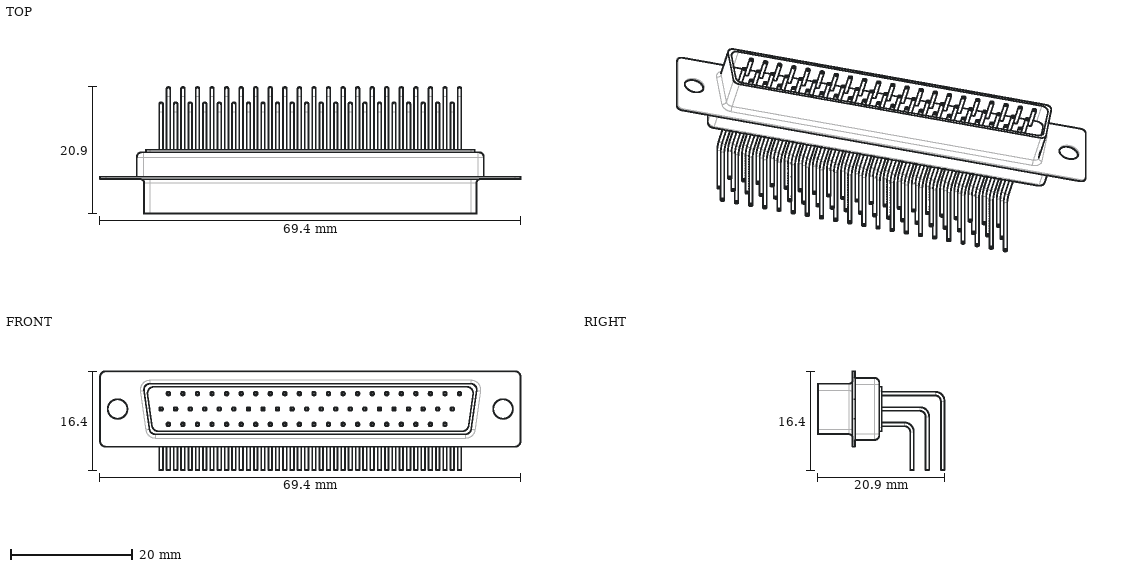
import cadquery as cq
import math


flange_width = 69.4
flange_height = 12.5
flange_thickness = 0.4
flange_corner_radius = 1.0
flange_edge_radius = 0.1
mount_hole_diameter = 3.2
mount_hole_spacing = 63.6

side_angle = 8.0
shell_top_width = 55.2
shell_height = 8.3
shell_corner_radius = 1.0
shell_depth = 5.7
shell_wall = 0.5
cavity_corner_radius = 1.1
shell_root_radius = 0.6
select_margin = 0.1
cavity_depth = 3.55

housing_width = 57.25
housing_height = 10.3
housing_corner_radius = 1.05
housing_depth = 4.0
housing_edge_radius = 0.8
insert_width = 54.3
insert_height = 7.35
insert_corner_radius = 0.7
insert_step = 0.4

pin_diameter = 0.64
pin_tip_chamfer = 0.105
pin_bend_radius = 1.25
pin_front_recess = 0.1
row_span = 48.0
long_row_pins = 21
short_row_pins = 20
column_pitch = row_span / (long_row_pins - 1)
row_stagger = column_pitch / 4
outer_row_distance = 5.1
row_pitch = outer_row_distance / 2
overall_depth = 20.9
overall_height = 16.4

half_corner_angle = math.radians(90 - side_angle) / 2
cavity_height = shell_height - 2 * shell_wall
cavity_top_width = shell_top_width - 2 * shell_wall / math.tan(half_corner_angle)
pin_radius = pin_diameter / 2
pin_front = pin_front_recess - shell_depth
leg_bottom = flange_height / 2 - overall_height
last_leg_y = overall_depth - shell_depth - pin_radius
housing_back = flange_thickness + housing_depth

first_pin_x = -row_span / 2
pin_rows = [
    (row_pitch, last_leg_y, first_pin_x + row_stagger, long_row_pins),
    (0.0, last_leg_y - row_pitch, first_pin_x - row_stagger, long_row_pins),
    (-row_pitch, last_leg_y - 2 * row_pitch, first_pin_x + row_stagger, short_row_pins),
]


def rounded_block(width, height, corner_radius, front_y, depth):
    """Rectangular block with rounded corners, running from front_y towards +Y."""
    return (
        cq.Workplane("XZ", origin=(0, front_y, 0))
        .rect(width, height)
        .extrude(-depth)
        .edges("|Y")
        .fillet(corner_radius)
    )


def d_block(top_width, height, corner_radius, front_y, depth):
    """D-shaped block, wider at the top, running from front_y towards +Y."""
    half_top = top_width / 2
    half_bottom = half_top - height * math.tan(math.radians(side_angle))
    return (
        cq.Workplane("XZ", origin=(0, front_y, 0))
        .polyline([
            (-half_top, height / 2),
            (half_top, height / 2),
            (half_bottom, -height / 2),
            (-half_bottom, -height / 2),
        ])
        .close()
        .extrude(-depth)
        .edges("|Y")
        .fillet(corner_radius)
    )


def make_flange():
    """Thin plate with two mounting holes and lightly rounded edges."""
    return (
        rounded_block(flange_width, flange_height, flange_corner_radius, 0, flange_thickness)
        .faces("<Y")
        .workplane(origin=(0, 0, 0))
        .pushPoints([(-mount_hole_spacing / 2, 0), (mount_hole_spacing / 2, 0)])
        .hole(mount_hole_diameter)
        .faces("<Y or >Y")
        .edges()
        .fillet(flange_edge_radius)
    )


def add_shell(flange):
    """Add the front shell, with a rounded root on the flange and a cavity open to the front."""
    shell = d_block(shell_top_width, shell_height, shell_corner_radius, -shell_depth, shell_depth)
    root_edges = cq.selectors.BoxSelector(
        (-shell_top_width / 2, -select_margin, -shell_height / 2 - select_margin),
        (shell_top_width / 2, select_margin, shell_height / 2 + select_margin),
    )
    cavity = d_block(cavity_top_width, cavity_height, cavity_corner_radius, -shell_depth, cavity_depth)
    return flange.union(shell).edges(root_edges).fillet(shell_root_radius).cut(cavity)


def make_housing():
    """Solid housing behind the flange, with the insert standing out of its back face."""
    housing = (
        rounded_block(housing_width, housing_height, housing_corner_radius, flange_thickness, housing_depth)
        .faces(">Y")
        .edges()
        .fillet(housing_edge_radius)
    )
    insert = rounded_block(insert_width, insert_height, insert_corner_radius, housing_back, insert_step)
    return housing.union(insert)


def make_pin(row_z, leg_y):
    """Pin at X = 0: straight back from the front tip, then bent down into the leg."""
    bend_mid = pin_bend_radius * (1 - math.sqrt(0.5))
    path = (
        cq.Workplane("YZ")
        .moveTo(pin_front, row_z)
        .lineTo(leg_y - pin_bend_radius, row_z)
        .threePointArc((leg_y - bend_mid, row_z - bend_mid), (leg_y, row_z - pin_bend_radius))
        .lineTo(leg_y, leg_bottom)
    )
    return (
        cq.Workplane("XZ", origin=(0, pin_front, row_z))
        .circle(pin_radius)
        .sweep(path)
        .faces("<Y or <Z")
        .chamfer(pin_tip_chamfer)
    )


def make_pins():
    """All pins of the three rows as one compound."""
    pins = []
    for row_z, leg_y, first_x, count in pin_rows:
        pin = make_pin(row_z, leg_y)
        for i in range(count):
            pins.append(pin.translate((first_x + i * column_pitch, 0, 0)).val())
    return cq.Workplane(cq.Compound.makeCompound(pins))


result = add_shell(make_flange()).union(make_housing()).union(make_pins())